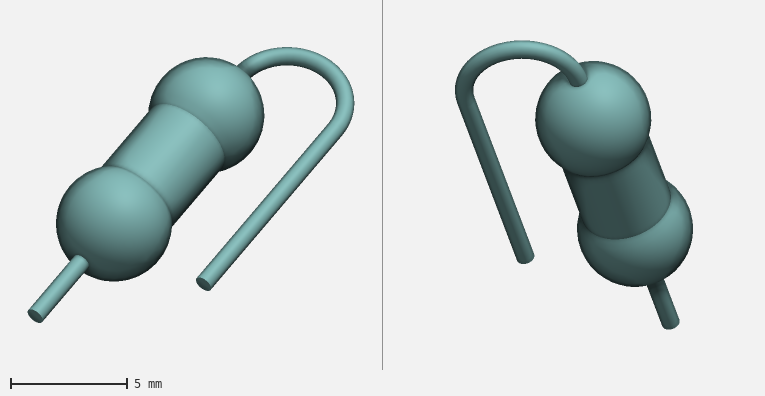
import cadquery as cq
import math


overall_length = 18.4
cap_diameter = 5.0
barrel_diameter = 4.0
barrel_length = 4.0
lead_diameter = 0.8
lead_spacing = 5.0
return_leg_length = 10.0

cap_radius = cap_diameter / 2
barrel_radius = barrel_diameter / 2
lead_radius = lead_diameter / 2
bend_radius = lead_spacing / 2

cap_center_offset = math.sqrt(cap_radius**2 - barrel_radius**2)
cap_center_y = barrel_length / 2 + cap_center_offset
body_tip_y = cap_center_y + cap_radius
hook_top_y = body_tip_y + bend_radius + lead_radius
straight_lead_end_y = hook_top_y - overall_length


def make_body():
    """Revolve the barrel and its two rounded ends about Y as one solid."""
    half_barrel = barrel_length / 2
    return (
        cq.Workplane("XY")
        .moveTo(0, -body_tip_y)
        .threePointArc((cap_radius, -cap_center_y), (barrel_radius, -half_barrel))
        .lineTo(barrel_radius, half_barrel)
        .threePointArc((cap_radius, cap_center_y), (0, body_tip_y))
        .close()
        .revolve(360, (0, 0, 0), (0, 1, 0))
    )


def sweep_lead(path, start_y):
    """Sweep the round wire along a path that leaves the Y axis at start_y."""
    section_plane = cq.Plane(origin=(0, start_y, 0), xDir=(1, 0, 0), normal=(0, 1, 0))
    return cq.Workplane(section_plane).circle(lead_radius).sweep(path)


def make_straight_lead(body):
    """Straight lead whose inner end fits the rounded end of the body."""
    path = cq.Workplane("XY").moveTo(0, straight_lead_end_y).lineTo(0, -cap_center_y)
    return sweep_lead(path, straight_lead_end_y).cut(body)


def make_hooked_lead(body):
    """Lead with a half-circle bend and a return leg, fitted to the body's other end."""
    path = (
        cq.Workplane("XY")
        .moveTo(0, cap_center_y)
        .lineTo(0, body_tip_y)
        .threePointArc((bend_radius, body_tip_y + bend_radius), (lead_spacing, body_tip_y))
        .lineTo(lead_spacing, body_tip_y - return_leg_length)
    )
    return sweep_lead(path, cap_center_y).cut(body)


resistor_body = make_body()
straight_lead = make_straight_lead(resistor_body)
hooked_lead = make_hooked_lead(resistor_body)

result = cq.Compound.makeCompound([
    resistor_body.val(),
    *straight_lead.vals(),
    *hooked_lead.vals(),
])